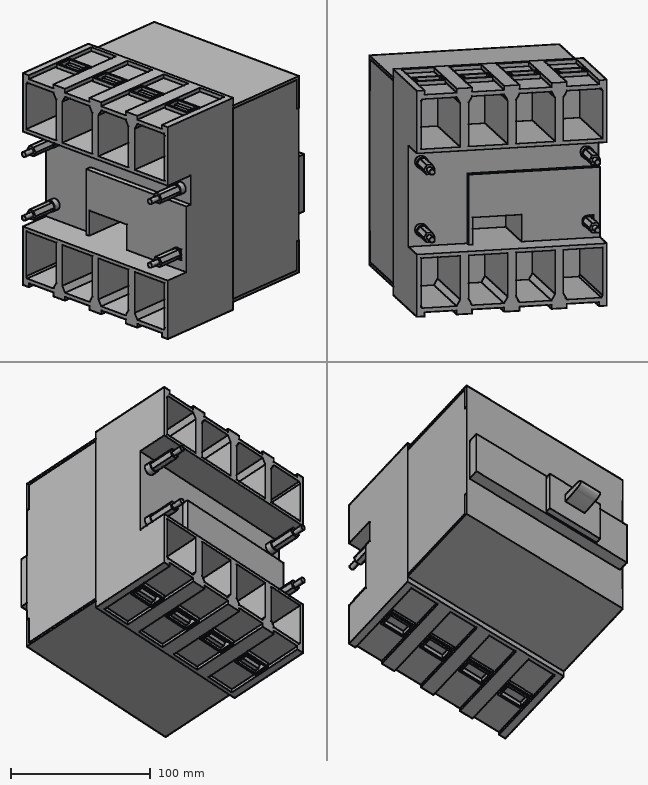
import cadquery as cq
import math


WIDTH = 140.0
BASE_HEIGHT = 166.0
BASE_DEPTH = 69.4
CHANNEL_HEIGHT = 74.2
CHANNEL_DEPTH = 24.4

POLE_COUNT = 4
POLE_PITCH = 35.0
POLE_CENTRES = [(i - (POLE_COUNT - 1) / 2) * POLE_PITCH for i in range(POLE_COUNT)]
CAVITY_WIDTH = 28.9
CAVITY_INNER_Z = CHANNEL_HEIGHT / 2 + 2.9
CAVITY_OUTER_Z = BASE_HEIGHT / 2 - 6.3
CHAMFER_SLOPE = math.tan(math.radians(60))
SIDE_WALL_CHAMFER = 0.9
DIVIDER_CHAMFER = 2.7
POLE_DEPTH = 66.3
GROOVE_WIDTH = 23.7
GROOVE_DEPTH = 3.0

FRAME_WIDTH = 20.8
FRAME_REAR_Y = 28.0
FRAME_LENGTH = 13.3
FRAME_WALL = 1.5
WINDOW_DEPTH = 5.0
LEDGE_DEPTH = 2.5
RAMP_REAR_Y = 35.1
LEDGE_REAR_Y = 36.5

PLATE_LEFT = -26.9
PLATE_TOP = 14.3
PLATE_THICKNESS = 4.7
NOTCH_LEFT = -24.0
NOTCH_WIDTH = 36.2
NOTCH_HEIGHT = 19.9

STUD_X = 61.0
STUD_Z = 25.0
COLLAR_RADIUS = 4.3
COLLAR_LENGTH = 5.2
HEX_ACROSS_FLATS = 7.0
HEX_END_Y = -0.9
PIN_RADIUS = 2.0
PIN_END_Y = -9.0

COVER_HEIGHT = 153.8
COVER_DEPTH = 70.0
COVER_FRONT_Y = BASE_DEPTH + COVER_DEPTH
SIDE_RECESS_DEPTH = 0.2
SIDE_RIM = 2.3
SIDE_OPENING_HEIGHT = 103.6

BEZEL_CENTRE_Z = -10.2
BEZEL_WIDTH = 134.8
BEZEL_HEIGHT = 44.8
BEZEL_THICKNESS = 8.2
STEP_LEFT = -40.2
STEP_WIDTH = 45.2
STEP_HEIGHT = 41.2
STEP_THICKNESS = 4.3
BEZEL_FRONT_Y = COVER_FRONT_Y + BEZEL_THICKNESS + STEP_THICKNESS

TOGGLE_LEFT = -26.2
TOGGLE_WIDTH = 17.2
TOGGLE_Z = -7.4
TOGGLE_TIP_Y = PIN_END_Y + 179.3
ROOT_HALF_HEIGHT = 4.1
SHOULDER_Y = 163.7
SHOULDER_HALF_HEIGHT = 3.2
NOSE_Y = 168.9
NOSE_HALF_HEIGHT = 2.2
FLANK_BULGE = 0.2
SHOULDER_BULGE = 0.4


def block(x, y, z, width, depth, height):
    """Box from its left edge x and rear face y, centred on z."""
    return cq.Workplane("XY").box(width, depth, height, centered=(False, False, True)).translate((x, y, z))


def rod(x, z, radius, y_start, length):
    """Cylinder along +Y."""
    return cq.Workplane("XZ", origin=(x, y_start, z)).circle(radius).extrude(-length)


def at_both_ends(shape):
    """The shape together with its mirror image at the -Z end."""
    return shape.union(shape.mirror("XY"))


def terminal_cavity(x):
    """Blind cavity at the +Z end; its outer corners are cut at 60 degrees, slightly at a side wall."""
    left = x - CAVITY_WIDTH / 2
    right = x + CAVITY_WIDTH / 2
    left_cut = SIDE_WALL_CHAMFER if x == POLE_CENTRES[0] else DIVIDER_CHAMFER
    right_cut = SIDE_WALL_CHAMFER if x == POLE_CENTRES[-1] else DIVIDER_CHAMFER
    outline = [
        (left, CAVITY_INNER_Z),
        (right, CAVITY_INNER_Z),
        (right, CAVITY_OUTER_Z - right_cut * CHAMFER_SLOPE),
        (right - right_cut, CAVITY_OUTER_Z),
        (left + left_cut, CAVITY_OUTER_Z),
        (left, CAVITY_OUTER_Z - left_cut * CHAMFER_SLOPE),
    ]
    return cq.Workplane("XZ").polyline(outline).close().extrude(-POLE_DEPTH)


def end_groove(x):
    """Groove in the +Z end face that leaves the frame of the wire window standing."""
    end = BASE_HEIGHT / 2
    floor_centre = end - GROOVE_DEPTH / 2
    groove = block(x - GROOVE_WIDTH / 2, 0, floor_centre, GROOVE_WIDTH, POLE_DEPTH, GROOVE_DEPTH)
    frame = block(x - FRAME_WIDTH / 2, FRAME_REAR_Y, floor_centre, FRAME_WIDTH, FRAME_LENGTH, GROOVE_DEPTH)
    return groove.cut(frame)


def wire_window(x):
    """Pocket inside the frame: a deep rear floor, a ramp and a shallower front ledge."""
    end = BASE_HEIGHT / 2
    rear = FRAME_REAR_Y + FRAME_WALL
    front = FRAME_REAR_Y + FRAME_LENGTH - FRAME_WALL
    width = FRAME_WIDTH - 2 * FRAME_WALL
    profile = [
        (rear, end),
        (rear, end - WINDOW_DEPTH),
        (RAMP_REAR_Y, end - WINDOW_DEPTH),
        (LEDGE_REAR_Y, end - LEDGE_DEPTH),
        (front, end - LEDGE_DEPTH),
        (front, end),
    ]
    return cq.Workplane("YZ", origin=(x - width / 2, 0, 0)).polyline(profile).close().extrude(width)


def rear_pocket():
    """Pocket through the plate notch and on into the base, as deep as the terminal cavities."""
    centre_z = (NOTCH_HEIGHT - CHANNEL_HEIGHT) / 2
    rear = CHANNEL_DEPTH - PLATE_THICKNESS
    return block(NOTCH_LEFT, rear, centre_z, NOTCH_WIDTH, POLE_DEPTH - rear, NOTCH_HEIGHT)


def rear_plate():
    """Plate with a U-shaped relief, open toward +X, around the lower right stud."""
    rear = CHANNEL_DEPTH - PLATE_THICKNESS
    bottom = -CHANNEL_HEIGHT / 2
    height = PLATE_TOP - bottom
    plate = block(
        PLATE_LEFT, rear, bottom + height / 2, WIDTH / 2 - PLATE_LEFT, PLATE_THICKNESS, height
    )
    relief_round = rod(STUD_X, -STUD_Z, COLLAR_RADIUS, rear, PLATE_THICKNESS)
    relief_square = block(STUD_X, rear, -STUD_Z, COLLAR_RADIUS, PLATE_THICKNESS, 2 * COLLAR_RADIUS)
    return plate.cut(relief_round).cut(relief_square)


def stud(x, z):
    """Round collar on the channel floor, hexagonal shank and thin round pin."""
    hex_diameter = HEX_ACROSS_FLATS / math.cos(math.radians(30))
    collar = rod(x, z, COLLAR_RADIUS, CHANNEL_DEPTH - COLLAR_LENGTH, COLLAR_LENGTH)
    shank = (
        cq.Workplane("XZ", origin=(x, HEX_END_Y, z))
        .polygon(6, hex_diameter)
        .extrude(HEX_END_Y - CHANNEL_DEPTH)
    )
    pin = rod(x, z, PIN_RADIUS, PIN_END_Y, CHANNEL_DEPTH - PIN_END_Y)
    return collar.union(shank).union(pin)


def make_base():
    base = block(-WIDTH / 2, 0, 0, WIDTH, BASE_DEPTH, BASE_HEIGHT)
    base = base.cut(block(-WIDTH / 2, 0, 0, WIDTH, CHANNEL_DEPTH, CHANNEL_HEIGHT))
    for x in POLE_CENTRES:
        for cutter in (terminal_cavity(x), end_groove(x), wire_window(x)):
            base = base.cut(at_both_ends(cutter))
    base = base.union(rear_plate()).cut(rear_pocket())
    for x in (-STUD_X, STUD_X):
        for z in (-STUD_Z, STUD_Z):
            base = base.union(stud(x, z))
    return base


def side_recess():
    """Shallow recess in the -X side, open to the front over its middle height."""
    left = -WIDTH / 2
    panel = block(
        left, BASE_DEPTH, 0, SIDE_RECESS_DEPTH, COVER_DEPTH - SIDE_RIM, COVER_HEIGHT - 2 * SIDE_RIM
    )
    opening = block(left, BASE_DEPTH, 0, SIDE_RECESS_DEPTH, COVER_DEPTH, SIDE_OPENING_HEIGHT)
    return panel.union(opening)


def make_cover():
    cover = block(-WIDTH / 2, BASE_DEPTH, 0, WIDTH, COVER_DEPTH, COVER_HEIGHT)
    recess = side_recess()
    return cover.cut(recess).cut(recess.mirror("YZ"))


def make_bezel():
    step_rear = COVER_FRONT_Y + BEZEL_THICKNESS
    lower = block(
        -BEZEL_WIDTH / 2, COVER_FRONT_Y, BEZEL_CENTRE_Z, BEZEL_WIDTH, BEZEL_THICKNESS, BEZEL_HEIGHT
    )
    upper = block(STEP_LEFT, step_rear, BEZEL_CENTRE_Z, STEP_WIDTH, STEP_THICKNESS, STEP_HEIGHT)
    return lower.union(upper)


def make_toggle():
    """Tapered lever with bulging flanks, rounded shoulders and a round nose."""
    flank_y = (BEZEL_FRONT_Y + SHOULDER_Y) / 2
    flank = (ROOT_HALF_HEIGHT + SHOULDER_HALF_HEIGHT) / 2 + FLANK_BULGE
    bend_y = (SHOULDER_Y + NOSE_Y) / 2
    bend = (SHOULDER_HALF_HEIGHT + NOSE_HALF_HEIGHT) / 2 + SHOULDER_BULGE
    return (
        cq.Workplane("YZ", origin=(TOGGLE_LEFT, 0, TOGGLE_Z))
        .moveTo(BEZEL_FRONT_Y, -ROOT_HALF_HEIGHT)
        .threePointArc((flank_y, -flank), (SHOULDER_Y, -SHOULDER_HALF_HEIGHT))
        .threePointArc((bend_y, -bend), (NOSE_Y, -NOSE_HALF_HEIGHT))
        .threePointArc((TOGGLE_TIP_Y, 0), (NOSE_Y, NOSE_HALF_HEIGHT))
        .threePointArc((bend_y, bend), (SHOULDER_Y, SHOULDER_HALF_HEIGHT))
        .threePointArc((flank_y, flank), (BEZEL_FRONT_Y, ROOT_HALF_HEIGHT))
        .close()
        .extrude(TOGGLE_WIDTH)
    )


base = make_base()
cover = make_cover()
bezel = make_bezel()
toggle = make_toggle()

result = cq.Compound.makeCompound([base.val(), cover.val(), bezel.val(), toggle.val()])